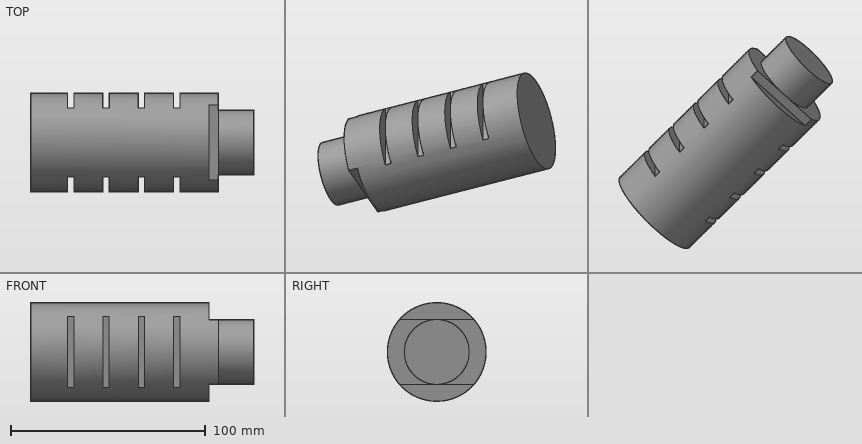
import cadquery as cq

overall_length = 114.81
body_diameter = 50.8
neck_diameter = 33.34
neck_length = 18.26

flat_length = 4.76

slot_count = 4
slot_width = 3.175
slot_depth = 7.62
slot_pitch = 18.16
first_slot_start = 19.05

body_length = overall_length - neck_length
body_radius = body_diameter / 2
slot_floor = body_radius - slot_depth


def make_turned_body():
    """Full-diameter cylinder with a reduced neck on its +X end."""
    body = cq.Workplane("YZ").circle(body_radius).extrude(body_length)
    return body.faces(">X").workplane().circle(neck_diameter / 2).extrude(neck_length)


def box_from(x_start, length, width, height):
    """Box starting at x_start, centred on Y and Z."""
    box = cq.Workplane("XY").box(length, width, height, centered=(False, True, True))
    return box.translate((x_start, 0, 0))


def cut_wrench_flats(part):
    """Remove the +Z and -Z segments of the body next to the neck."""
    start = body_length - flat_length
    blank = box_from(start, flat_length, body_diameter, body_diameter)
    kept = box_from(start, flat_length, body_diameter, neck_diameter)
    return part.cut(blank.cut(kept))


def cut_side_slots(part):
    """Cut the row of flat-floored slots into the +Y and -Y sides."""
    for index in range(slot_count):
        start = first_slot_start + index * slot_pitch
        blank = box_from(start, slot_width, body_diameter, body_diameter)
        kept = box_from(start, slot_width, 2 * slot_floor, body_diameter)
        part = part.cut(blank.cut(kept))
    return part


result = cut_side_slots(cut_wrench_flats(make_turned_body()))